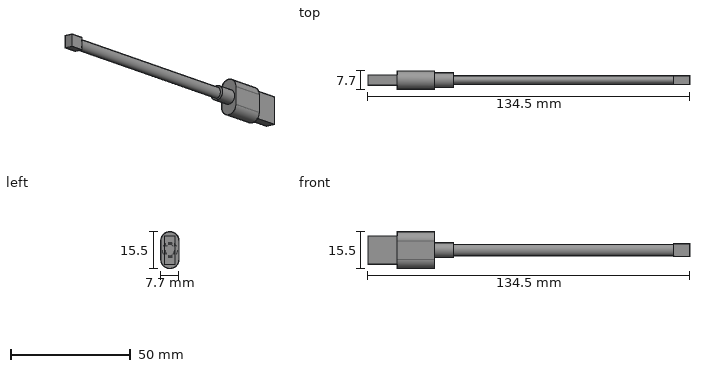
import cadquery as cq

total_length = 134.5
plug_length = 12.2
body_length = 15.6
collar_length = 8.0
end_block_length = 6.7

plug_width = 4.5
plug_height = 12.0
body_width = 7.7
body_height = 15.5
collar_diameter = 6.3
cable_width = 3.8
cable_height = 4.8
end_block_width = 3.8
end_block_height = 5.4

body_start = plug_length
collar_start = body_start + body_length
cable_start = collar_start + collar_length
end_block_start = total_length - end_block_length


def section_plane(x):
    """Plane across the long axis, with local x along Y and local y along Z."""
    return cq.Workplane("YZ", origin=(x, 0, 0))


def block(start, length, width, height):
    return section_plane(start).rect(width, height).extrude(length)


plug = block(0, plug_length, plug_width, plug_height)

body = section_plane(body_start).slot2D(body_height, body_width, 90).extrude(body_length)

collar = section_plane(collar_start).circle(collar_diameter / 2).extrude(collar_length)

cable_length = end_block_start - cable_start
cable = section_plane(cable_start).ellipse(cable_width / 2, cable_height / 2).extrude(cable_length)

end_block = block(end_block_start, end_block_length, end_block_width, end_block_height)

result = plug.union(body).union(collar).union(cable).union(end_block)